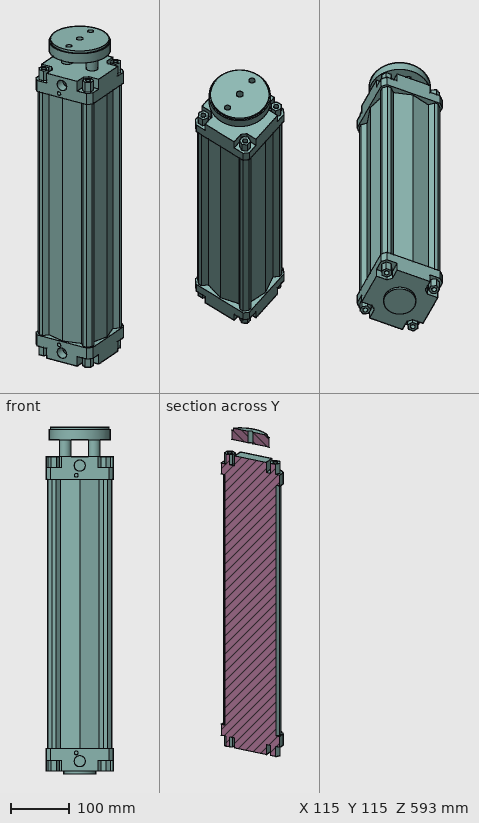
import cadquery as cq
import math

total_height = 593.0
boss_height = 5.0
head_height = 39.0
rod_length = 28.5
disc_height = 22.0
disc_bottom = total_height - disc_height
top_head_outer = disc_bottom - rod_length
top_head_inner = top_head_outer - head_height
bottom_head_outer = boss_height
bottom_head_inner = bottom_head_outer + head_height

head_width = 115.0
head_half = head_width / 2
head_chamfer = 8.0

pocket_depth = 18.5
pocket_inner = 31.0
pocket_chamfer = 7.0

nut_offset = 44.5
nut_across_corners = 19.0
nut_hole_diameter = 8.5
nut_hole_depth = 12.0
drill_point_angle = 118.0

port_diameter = 19.0
port_depth = 18.0
top_port_z = 527.0
bottom_port_z = 22.0
pilot_diameter = 6.5
pilot_depth = 12.0
pilot_x = -6.0
top_pilot_z = 510.5
bottom_pilot_z = 36.0

barrel_half = 54.5
ridge_half = 55.0
barrel_bevel = 7.0
barrel_land = 6.5
groove_depth = 8.5

boss_diameter = 55.0

disc_diameter = 105.0
disc_step_diameter = 100.0
disc_step_height = 4.0
rod_diameter = 20.0
rod_offset = 25.0
center_hole_diameter = 12.0
side_hole_diameter = 10.0
side_hole_offset = 35.0

corner_angles = (0, 90, 180, 270)


def turn(shape, angle):
    """Rotate a shape about the Z axis."""
    return shape.rotate((0, 0, 0), (0, 0, 1), angle)


def make_barrel():
    """Extruded bar: beveled corner ribs with a shallow ridge along the middle of each side."""
    corner = barrel_half - barrel_bevel
    rib_edge = corner - barrel_land
    valley_edge = rib_edge - groove_depth
    side = [
        (-corner, -barrel_half),
        (-rib_edge, -barrel_half),
        (-valley_edge, -barrel_half + groove_depth),
        (0, -ridge_half),
        (valley_edge, -barrel_half + groove_depth),
        (rib_edge, -barrel_half),
        (corner, -barrel_half),
    ]
    outline = []
    for _ in corner_angles:
        outline += side
        side = [(-y, x) for x, y in side]
    length = top_head_inner - bottom_head_inner
    return cq.Workplane("XY").workplane(offset=bottom_head_inner).polyline(outline).close().extrude(length)


def make_pocket():
    """Square corner cut at (-X, -Y), open to the sides and the top, with a beveled inner corner."""
    pocket_size = head_half - pocket_inner
    pocket_center = -(head_half + pocket_inner) / 2
    return (
        cq.Workplane("XY")
        .workplane(offset=head_height - pocket_depth)
        .center(pocket_center, pocket_center)
        .rect(pocket_size, pocket_size)
        .extrude(pocket_depth)
        .edges("|Z and >X and >Y")
        .chamfer(pocket_chamfer)
    )


def make_nut():
    """Hexagonal nut at (-X, -Y), with two of its corners pointing along X."""
    return (
        cq.Workplane("XY")
        .workplane(offset=head_height - pocket_depth)
        .center(-nut_offset, -nut_offset)
        .polygon(6, nut_across_corners)
        .extrude(pocket_depth)
    )


def make_nut_hole():
    """Blind drilled hole with a conical bottom, in the end of the (-X, -Y) nut."""
    radius = nut_hole_diameter / 2
    point_depth = radius / math.tan(math.radians(drill_point_angle / 2))
    shoulder = head_height - nut_hole_depth
    profile = [(0, head_height), (radius, head_height), (radius, shoulder), (0, shoulder - point_depth)]
    hole = cq.Workplane("XZ").polyline(profile).close().revolve(360, (0, 0, 0), (0, 1, 0))
    return hole.translate((-nut_offset, -nut_offset, 0))


def make_head():
    """Head block from Z = 0, with its outer face and corner nuts at the top."""
    head = (
        cq.Workplane("XY")
        .rect(head_width, head_width)
        .extrude(head_height)
        .edges("|Z")
        .chamfer(head_chamfer)
    )
    for angle in corner_angles:
        head = head.cut(turn(make_pocket(), angle))
        head = head.union(turn(make_nut(), angle))
        head = head.cut(turn(make_nut_hole(), angle))
    return head


def make_side_hole(diameter, depth, x, z):
    """Cutter for a blind hole in the -Y face of a head."""
    return cq.Workplane("XZ", origin=(x, -head_half, z)).circle(diameter / 2).extrude(-depth)


def make_housing():
    """Barrel with both heads, the bottom boss and the ports."""
    top_head = make_head().translate((0, 0, top_head_inner))
    bottom_head = make_head().mirror("XY").translate((0, 0, bottom_head_inner))
    boss = cq.Workplane("XY").circle(boss_diameter / 2).extrude(boss_height)
    housing = make_barrel().union(top_head).union(bottom_head).union(boss)
    for port_z, pilot_z in ((top_port_z, top_pilot_z), (bottom_port_z, bottom_pilot_z)):
        housing = housing.cut(make_side_hole(port_diameter, port_depth, 0, port_z))
        housing = housing.cut(make_side_hole(pilot_diameter, pilot_depth, pilot_x, pilot_z))
    return housing


def make_end_plate():
    """Stepped disc on two rods that stand on the top head."""
    step_bottom = total_height - disc_step_height
    disc = (
        cq.Workplane("XY")
        .workplane(offset=disc_bottom)
        .circle(disc_diameter / 2)
        .extrude(step_bottom - disc_bottom)
        .faces(">Z")
        .workplane()
        .circle(disc_step_diameter / 2)
        .extrude(disc_step_height)
    )
    disc = disc.faces(">Z").workplane().hole(center_hole_diameter)
    disc = (
        disc.faces(">Z")
        .workplane()
        .pushPoints([(0, -side_hole_offset), (0, side_hole_offset)])
        .hole(side_hole_diameter)
    )
    rods = (
        cq.Workplane("XY")
        .workplane(offset=top_head_outer)
        .pushPoints([(-rod_offset, 0), (rod_offset, 0)])
        .circle(rod_diameter / 2)
        .extrude(rod_length)
    )
    return disc.union(rods)


housing = make_housing()
end_plate = make_end_plate()
result = cq.Compound.makeCompound([housing.val(), end_plate.val()])